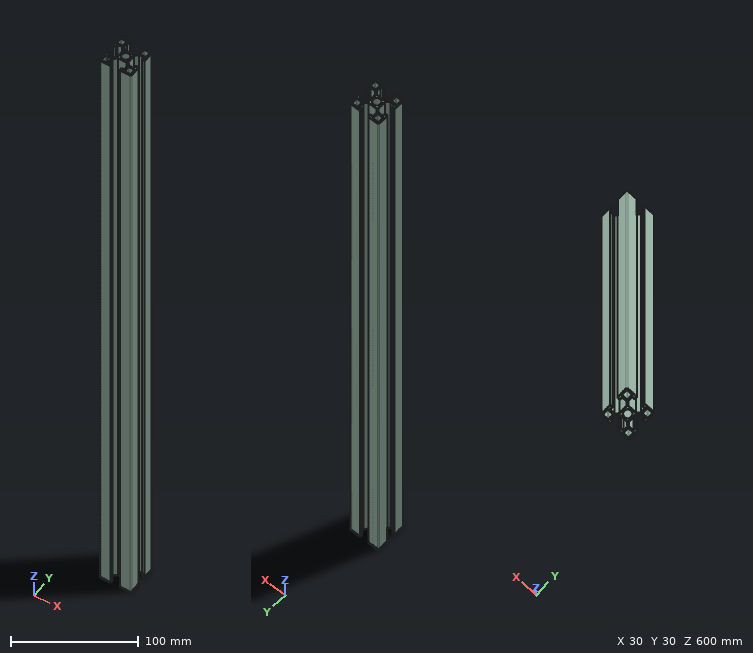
import cadquery as cq

side = 30.0
length = 600.0
corner_radius = 1.0

slot_opening = 8.6
lip_thickness = 2.5
slot_inner_width = 14.0
slot_depth = 10.0
slot_floor_width = 8.0

bore_diameter = 7.5
corner_hollow_size = 6.0
corner_hollow_offset = 11.0
corner_hollow_radius = 0.5

half_side = side / 2
slot_angles = (0, 90, 180, 270)


def make_bar():
    """Square bar with rounded long edges, standing on the XY plane."""
    return cq.Workplane("XY").rect(side, side).extrude(length).edges("|Z").fillet(corner_radius)


def make_slot():
    """Cutter for the T-slot on the +Y side, tapering at 45 degrees to its floor."""
    half_opening = slot_opening / 2
    half_inner = slot_inner_width / 2
    half_floor = slot_floor_width / 2
    lip_y = half_side - lip_thickness
    floor_y = half_side - slot_depth
    taper_y = floor_y + half_inner - half_floor
    outline = [
        (half_opening, half_side),
        (half_opening, lip_y),
        (half_inner, lip_y),
        (half_inner, taper_y),
        (half_floor, floor_y),
    ]
    mirrored = [(-x, y) for x, y in reversed(outline)]
    return cq.Workplane("XY").polyline(outline + mirrored).close().extrude(length)


def make_corner_hollows():
    """Round-cornered square hollows running the full length inside the four corners."""
    pitch = 2 * corner_hollow_offset
    return (
        cq.Workplane("XY")
        .rarray(pitch, pitch, 2, 2)
        .rect(corner_hollow_size, corner_hollow_size)
        .extrude(length)
        .edges("|Z")
        .fillet(corner_hollow_radius)
    )


def make_bore():
    """Round bore along the axis of the bar."""
    return cq.Workplane("XY").circle(bore_diameter / 2).extrude(length)


result = make_bar()
slot = make_slot()
for angle in slot_angles:
    result = result.cut(slot.rotate((0, 0, 0), (0, 0, 1), angle))
result = result.cut(make_corner_hollows()).cut(make_bore())